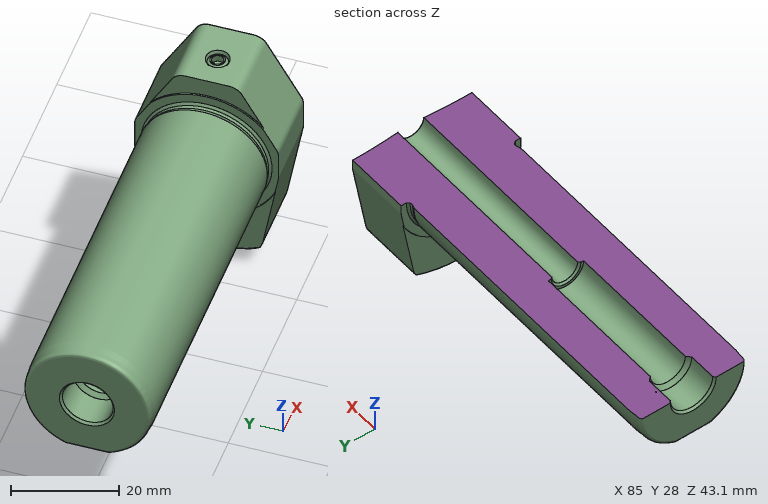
import cadquery as cq
import math

length = 85.0

shaft_radius = 12.5
end_face_radius = 11.6
nose_radius = 12.3
nose_length = 1.6
taper_end = 3.15

groove_start = 67.9
groove_floor_start = 68.7
groove_floor_end = 69.45
groove_radius = 12.2
groove_flare_radius = 12.75

flat_depth = 11.7
flat_end = 65.0
flat_runout = 0.85
flat_nose_depth = 11.1
flat_nose_length = 0.7

pad_face = 69.9
pad_radius = 14.6
head_start = 70.2
head_end = 84.6
head_width = 28.0
head_half_width = head_width / 2
head_top = 18.4
top_half_width = 5.95
flank_angle = 30.0
side_bottom = -2.2
lower_half_width = 10.4
bottom_radius = 24.65
upper_corner_radius = 3.0
lower_corner_radius = 4.7
bottom_chamfer_inner = 1.0
bottom_chamfer_outer = 0.7
crown_radius = 11.65
crown_sphere_radius = 148.75

bore_mouth_radius = 5.35
bore_radius = 4.9
bore_mouth_depth = 0.5
bore_depth = 6.8
middle_bore_radius = 4.1
middle_bore_depth = 38.25
throat_diameter = 6.9
throat_radius = throat_diameter / 2
through_diameter = 6.0
through_radius = through_diameter / 2

screw_x = 76.4
screw_hole_radius = 2.3
screw_diameter = 4.0
screw_groove_depth = 0.7
screw_top_radius = 1.45
screw_top_depth = 0.25
socket_diameter = 2.3
socket_radius = socket_diameter / 2
socket_depth = 1.7
socket_point_angle = 118.0


def revolve_about_x(profile):
    """Revolve a closed XZ-plane outline about the X axis."""
    return profile.close().revolve(360, (0, 0, 0), (1, 0, 0))


def make_shaft():
    shaft = revolve_about_x(
        cq.Workplane("XZ")
        .lineTo(0, end_face_radius)
        .spline([(nose_length, nose_radius)], tangents=[(0, 1), (1, 0)], includeCurrent=True)
        .lineTo(taper_end, shaft_radius)
        .lineTo(groove_start, shaft_radius)
        .lineTo(groove_floor_start, groove_radius)
        .lineTo(groove_floor_end, groove_radius)
        .lineTo(pad_face, groove_flare_radius)
        .lineTo(head_start, groove_flare_radius)
        .lineTo(head_start, 0)
    )
    underside = (
        cq.Workplane("XZ")
        .moveTo(0, -flat_nose_depth)
        .lineTo(flat_nose_length, -flat_depth)
        .lineTo(flat_end, -flat_depth)
        .lineTo(flat_end + flat_runout, -shaft_radius)
        .lineTo(flat_end + flat_runout, -2 * shaft_radius)
        .lineTo(0, -2 * shaft_radius)
        .close()
        .extrude(shaft_radius, both=True)
    )
    return shaft.cut(underside)


def head_prism(start, end):
    """Head outline, symmetric about Y = 0, extruded along X."""
    shoulder_z = head_top - (head_half_width - top_half_width) / math.tan(math.radians(flank_angle))
    lower_z = -math.sqrt(bottom_radius**2 - lower_half_width**2)
    prism = (
        cq.Workplane("YZ", origin=(start, 0, 0))
        .moveTo(-top_half_width, head_top)
        .lineTo(top_half_width, head_top)
        .lineTo(head_half_width, shoulder_z)
        .lineTo(head_half_width, side_bottom)
        .lineTo(lower_half_width, lower_z)
        .threePointArc((0, -bottom_radius), (-lower_half_width, lower_z))
        .lineTo(-head_half_width, side_bottom)
        .lineTo(-head_half_width, shoulder_z)
        .close()
        .extrude(end - start)
    )
    upper_half = cq.selectors.BoxSelector(
        (start, -head_width, 0),
        (end, head_width, 2 * head_top),
    )
    prism = prism.edges("|X").edges(upper_half).fillet(upper_corner_radius)
    return prism.edges("|X").edges("<Z").fillet(lower_corner_radius)


def make_head():
    blank = revolve_about_x(
        cq.Workplane("XZ")
        .moveTo(pad_face, 0)
        .lineTo(pad_face, pad_radius)
        .lineTo(head_start, pad_radius)
        .lineTo(head_start, bottom_radius - bottom_chamfer_inner)
        .lineTo(head_start + bottom_chamfer_inner, bottom_radius)
        .lineTo(head_end - bottom_chamfer_outer, bottom_radius)
        .lineTo(head_end, bottom_radius - bottom_chamfer_outer)
        .lineTo(head_end, crown_radius)
        .radiusArc((length, through_radius), -crown_sphere_radius)
        .lineTo(length, 0)
    )
    return head_prism(pad_face, length).intersect(blank)


def make_bore():
    middle_start = bore_depth + bore_radius - middle_bore_radius
    through_start = middle_bore_depth + throat_radius - through_radius
    return revolve_about_x(
        cq.Workplane("XZ")
        .lineTo(0, bore_mouth_radius)
        .lineTo(bore_mouth_depth, bore_radius)
        .lineTo(bore_depth, bore_radius)
        .lineTo(middle_start, middle_bore_radius)
        .lineTo(middle_bore_depth, middle_bore_radius)
        .lineTo(middle_bore_depth, throat_radius)
        .lineTo(through_start, through_radius)
        .lineTo(length, through_radius)
        .lineTo(length, 0)
    )


def make_screw_recess():
    """Material removed around the screw's chamfered rim and inside its socket."""
    point_depth = socket_radius / math.tan(math.radians(socket_point_angle / 2))
    return (
        cq.Workplane("XZ", origin=(screw_x, 0, head_top))
        .lineTo(screw_hole_radius, 0)
        .lineTo(screw_diameter / 2, -screw_groove_depth)
        .lineTo(screw_top_radius, -screw_top_depth)
        .lineTo(socket_radius, -screw_top_depth)
        .lineTo(socket_radius, -socket_depth)
        .lineTo(0, -socket_depth - point_depth)
        .close()
        .revolve(360, (0, 0, 0), (0, 1, 0))
    )


result = make_shaft().union(make_head()).cut(make_bore()).cut(make_screw_recess())